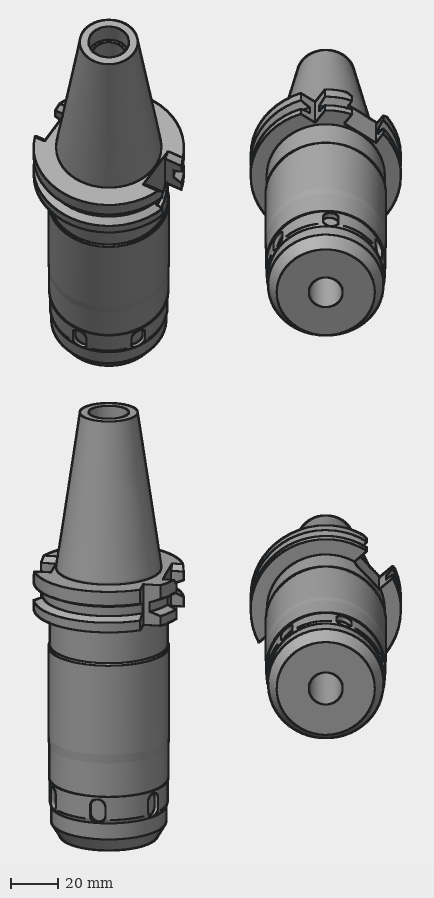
import cadquery as cq

total_height = 188.4
gauge_height = 120.0
flange_top = 119.0
flange_bottom = 101.0

gauge_radius = 22.2
taper_slope = 7 / 48
taper_top_radius = gauge_radius - (total_height - gauge_height) * taper_slope

flange_diameter = 63.5
flange_radius = flange_diameter / 2
groove_floor_radius = 28.0
groove_center_height = 109.0
groove_mouth_width = 7.5
groove_wall_height = 1.7
groove_mouth_top = groove_center_height + groove_mouth_width / 2
groove_mouth_bottom = groove_center_height - groove_mouth_width / 2

neck_diameter = 50.0
neck_radius = neck_diameter / 2
neck_bottom = 85.0
body_diameter = 51.0
body_radius = body_diameter / 2
body_top = 84.0
body_bottom = 44.3
nut_top = 40.3
nut_radius = 25.2
nut_bottom = 25.5
ring_radius = neck_radius
ring_bottom = 15.0
nose_diameter = 48.8
nose_radius = nose_diameter / 2
nose_top = 13.4
nose_chamfer_top = 6.2
nose_face_radius = 20.7

keyway_width = 16.2
keyway_chamfer = 2.5
left_keyway_x = 25.2
right_keyway_x = 22.8
keyway_run_out = 7.7

notch_inner_edge = 18.5

spanner_slot_count = 6
spanner_slot_width = 6.5
spanner_slot_length = 10.5
spanner_slot_center_height = 18.8
spanner_slot_floor = 22.6

bore_radius = 7.2
counterbore_radius = 8.5
counterbore_depth = 8.7


def make_body():
    """Turned outline: nose, body, flange and taper in one revolve about Z."""
    outline = [
        (0, 0),
        (nose_face_radius, 0),
        (nose_radius, nose_chamfer_top),
        (nose_radius, nose_top),
        (ring_radius, ring_bottom),
        (ring_radius, nut_bottom),
        (nut_radius, nut_bottom),
        (nut_radius, nut_top),
        (body_radius, body_bottom),
        (body_radius, body_top),
        (neck_radius, neck_bottom),
        (neck_radius, flange_bottom),
        (flange_radius, flange_bottom),
        (flange_radius, groove_mouth_bottom),
        (groove_floor_radius, groove_mouth_bottom + groove_wall_height),
        (groove_floor_radius, groove_mouth_top - groove_wall_height),
        (flange_radius, groove_mouth_top),
        (flange_radius, flange_top),
        (gauge_radius, flange_top),
        (gauge_radius, gauge_height),
        (taper_top_radius, total_height),
        (0, total_height),
    ]
    return cq.Workplane("XZ").polyline(outline).close().revolve(360, (0, 0), (0, 1))


def keyway_cutter(floor_x, side):
    """Keyway with a chamfered mouth and a round lower end; side is +1 or -1 along X."""
    half_width = keyway_width / 2
    lower_end = flange_bottom - keyway_run_out
    arc_center = lower_end + half_width
    mouth = half_width + keyway_chamfer
    return (
        cq.Workplane("YZ", origin=(side * floor_x, 0, 0))
        .moveTo(-half_width, arc_center)
        .threePointArc((0, lower_end), (half_width, arc_center))
        .lineTo(half_width, flange_top - keyway_chamfer)
        .lineTo(mouth, flange_top)
        .lineTo(-mouth, flange_top)
        .lineTo(-half_width, flange_top - keyway_chamfer)
        .close()
        .extrude(side * flange_radius)
    )


def notch_cutter():
    """Square corner notch through the full flange height, on the -X +Y side."""
    corner = (-notch_inner_edge - flange_radius, notch_inner_edge, flange_bottom)
    flange_thickness = flange_top - flange_bottom
    block = cq.Workplane("XY").box(flange_radius, flange_radius, flange_thickness, centered=False)
    return block.translate(corner)


def spanner_slot_cutter(angle):
    """Upright flat-floored slot in the nose, facing outward at the given angle from -Y."""
    return (
        cq.Workplane("XZ", origin=(0, -spanner_slot_floor, spanner_slot_center_height))
        .slot2D(spanner_slot_length, spanner_slot_width, 90)
        .extrude(body_radius - spanner_slot_floor)
        .rotate((0, 0, 0), (0, 0, 1), angle)
    )


def bore_cutter():
    """Through bore with a wider counterbore at the small end of the taper."""
    bore = cq.Workplane("XY").circle(bore_radius).extrude(total_height)
    counterbore = (
        cq.Workplane("XY", origin=(0, 0, total_height))
        .circle(counterbore_radius)
        .extrude(-counterbore_depth)
    )
    return bore.union(counterbore)


result = make_body()
result = result.cut(keyway_cutter(left_keyway_x, -1))
result = result.cut(keyway_cutter(right_keyway_x, 1))
result = result.cut(notch_cutter())
for index in range(spanner_slot_count):
    result = result.cut(spanner_slot_cutter(index * 360 / spanner_slot_count))
result = result.cut(bore_cutter())